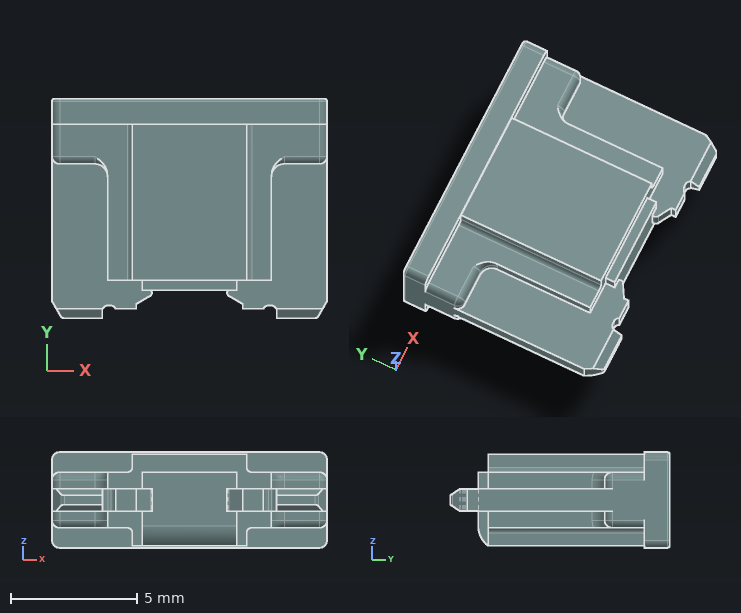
import cadquery as cq
import math


WIDTH = 10.9
DEPTH = 8.7
HEIGHT = 3.8

FLANGE_THICKNESS = 1.0
FLANGE_FRONT = DEPTH - FLANGE_THICKNESS
BACK_EDGE_RADIUS = 0.1

BODY_FRONT = 1.5
CORE_WIDTH = 6.5
CORE_HEIGHT = 2.2
PAD_WIDTH = 4.53
PAD_HEIGHT = 3.64
PAD_ROOT_RADIUS = 0.2

SHOULDER_FRONT = 6.11
SHOULDER_ROOT_RADIUS = 0.5
OUTER_EDGE_RADIUS = 0.3

TONGUE_WIDTH = 3.73
TONGUE_FRONT = 1.1
TONGUE_NOSE_RADIUS = 1.0

BLADE_THICKNESS = 0.87
FOOT_INNER_X = 3.45
FOOT_SLANT_DEPTH = 0.68
FOOT_SLANT_ANGLE = math.radians(30)
FOOT_CORNER_RADIUS = 0.16
FOOT_BEVEL_DEPTH = 0.37
FOOT_BEVEL_HEIGHT = 0.25
WEB_FRONT = 0.37
WEB_INNER_X = 2.1
HOOK_START_Y = 0.57
HOOK_TIP_X = 1.43
HOOK_ANGLE = math.radians(30)
HOOK_TIP_RADIUS = 0.15
GROOVE_INNER_X = 2.91
GROOVE_TOP = 0.5
GROOVE_RADIUS = 0.22

PICK_MARGIN = 0.01


def block(width, y_front, y_back, height):
    """Box centred on X and Z that spans y_front to y_back."""
    box = cq.Workplane("XY").box(width, y_back - y_front, height, centered=(True, False, True))
    return box.translate((0, y_front, 0))


def make_flange():
    flange = block(WIDTH, FLANGE_FRONT, DEPTH, HEIGHT)
    flange = flange.edges("|Y").fillet(OUTER_EDGE_RADIUS)
    return flange.faces(">Y").edges().fillet(BACK_EDGE_RADIUS)


def make_shouldered_core():
    shoulders = block(WIDTH, SHOULDER_FRONT, DEPTH, CORE_HEIGHT)
    rounded_edges = "(|Y and (<X or >X)) or (|X and <Y) or (|Z and <Y)"
    shoulders = shoulders.edges(rounded_edges).fillet(OUTER_EDGE_RADIUS)

    core = block(CORE_WIDTH, BODY_FRONT, DEPTH, HEIGHT)
    body = shoulders.union(core)
    root_reach = cq.selectors.BoxSelector(
        (-CORE_WIDTH / 2 - PICK_MARGIN, SHOULDER_FRONT - PICK_MARGIN, -CORE_HEIGHT / 2 + PICK_MARGIN),
        (CORE_WIDTH / 2 + PICK_MARGIN, SHOULDER_FRONT + PICK_MARGIN, CORE_HEIGHT / 2 - PICK_MARGIN),
    )
    body = body.edges(root_reach).fillet(SHOULDER_ROOT_RADIUS)
    return body.intersect(block(WIDTH, BODY_FRONT, FLANGE_FRONT, CORE_HEIGHT))


def make_pads():
    plate = block(CORE_WIDTH, BODY_FRONT, FLANGE_FRONT, CORE_HEIGHT)
    pads = block(PAD_WIDTH, BODY_FRONT, FLANGE_FRONT, PAD_HEIGHT).union(plate)
    root_edges = cq.selectors.BoxSelector(
        (-PAD_WIDTH / 2 - PICK_MARGIN, BODY_FRONT, -CORE_HEIGHT / 2 - PICK_MARGIN),
        (PAD_WIDTH / 2 + PICK_MARGIN, FLANGE_FRONT, CORE_HEIGHT / 2 + PICK_MARGIN),
    )
    return pads.edges("|Y").edges(root_edges).fillet(PAD_ROOT_RADIUS)


def make_tongue():
    """Plate on the front face whose lower edge is an arc running back to the foot of the core."""
    depth = BODY_FRONT - TONGUE_FRONT
    top = CORE_HEIGHT / 2
    bottom = -PAD_HEIGHT / 2
    nose_height = math.sqrt(TONGUE_NOSE_RADIUS**2 - (TONGUE_NOSE_RADIUS - depth) ** 2)
    side_profile = (
        cq.Workplane("YZ")
        .moveTo(BODY_FRONT, top)
        .lineTo(TONGUE_FRONT, top)
        .lineTo(TONGUE_FRONT, bottom + nose_height)
        .radiusArc((BODY_FRONT, bottom), -TONGUE_NOSE_RADIUS)
        .close()
    )
    return side_profile.extrude(TONGUE_WIDTH / 2, both=True)


def make_right_blade():
    side = WIDTH / 2
    foot_corner_x = side - FOOT_SLANT_DEPTH * math.tan(FOOT_SLANT_ANGLE)
    hook_tip_y = HOOK_START_Y + (WEB_INNER_X - HOOK_TIP_X) * math.tan(HOOK_ANGLE)
    hook_back_x = HOOK_TIP_X + (BODY_FRONT - hook_tip_y) * math.tan(HOOK_ANGLE)
    blade = (
        cq.Workplane("XY")
        .moveTo(side, FLANGE_FRONT)
        .lineTo(side, FOOT_SLANT_DEPTH)
        .lineTo(foot_corner_x, 0)
        .lineTo(FOOT_INNER_X, 0)
        .lineTo(FOOT_INNER_X, WEB_FRONT)
        .lineTo(WEB_INNER_X, WEB_FRONT)
        .lineTo(WEB_INNER_X, HOOK_START_Y)
        .lineTo(HOOK_TIP_X, hook_tip_y)
        .lineTo(hook_back_x, BODY_FRONT)
        .lineTo(hook_back_x, FLANGE_FRONT)
        .close()
        .extrude(BLADE_THICKNESS / 2, both=True)
    )
    blade = blade.edges(cq.NearestToPointSelector((HOOK_TIP_X, hook_tip_y, 0))).fillet(HOOK_TIP_RADIUS)
    blade = blade.edges(cq.NearestToPointSelector((foot_corner_x, 0, 0))).fillet(FOOT_CORNER_RADIUS)
    return blade.cut(make_foot_bevels()).cut(make_groove())


def make_foot_bevels():
    """Wedges that thin the foot towards its tip from above and below."""
    face = BLADE_THICKNESS / 2
    wedge = (
        cq.Workplane("YZ", origin=(FOOT_INNER_X, 0, 0))
        .polyline([(0, face), (FOOT_BEVEL_DEPTH, face), (0, face - FOOT_BEVEL_HEIGHT)])
        .close()
        .extrude(WIDTH / 2 - FOOT_INNER_X)
    )
    return wedge.union(wedge.mirror("XY"))


def make_groove():
    """Round-cornered groove in the web beside the foot."""
    width = FOOT_INNER_X - GROOVE_INNER_X
    groove = block(width, 0, GROOVE_TOP, BLADE_THICKNESS)
    groove = groove.edges("|Z and >Y").fillet(GROOVE_RADIUS)
    return groove.translate((GROOVE_INNER_X + width / 2, 0, 0))


right_blade = make_right_blade()
result = (
    make_flange()
    .union(make_shouldered_core())
    .union(make_pads())
    .union(make_tongue())
    .union(right_blade)
    .union(right_blade.mirror("YZ"))
)